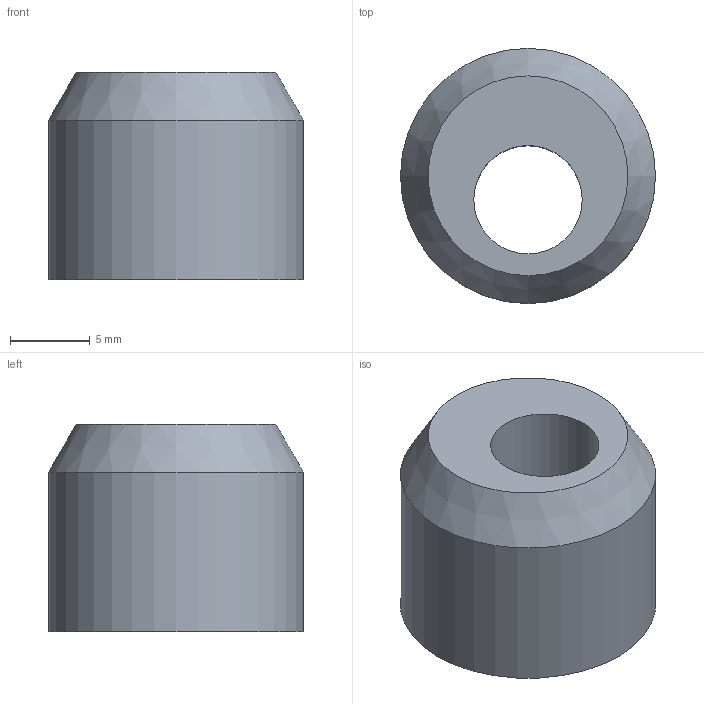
import cadquery as cq
import math

body_diameter = 16.0
total_height = 13.0
taper_height = 3.0
taper_angle = 30.0
hole_diameter = 6.8
hole_offset = 1.5

body_radius = body_diameter / 2
straight_height = total_height - taper_height
top_radius = body_radius - taper_height * math.tan(math.radians(taper_angle))


def make_body():
    """Cylinder with a conical taper at its top, revolved about Z."""
    half_profile = (
        cq.Workplane("XZ")
        .lineTo(body_radius, 0)
        .lineTo(body_radius, straight_height)
        .lineTo(top_radius, total_height)
        .lineTo(0, total_height)
        .close()
    )
    return half_profile.revolve(360, (0, 0, 0), (0, 1, 0))


def make_hole():
    """Eccentric hole running the full height of the body."""
    return (
        cq.Workplane("XY")
        .center(0, -hole_offset)
        .circle(hole_diameter / 2)
        .extrude(total_height)
    )


result = make_body().cut(make_hole())